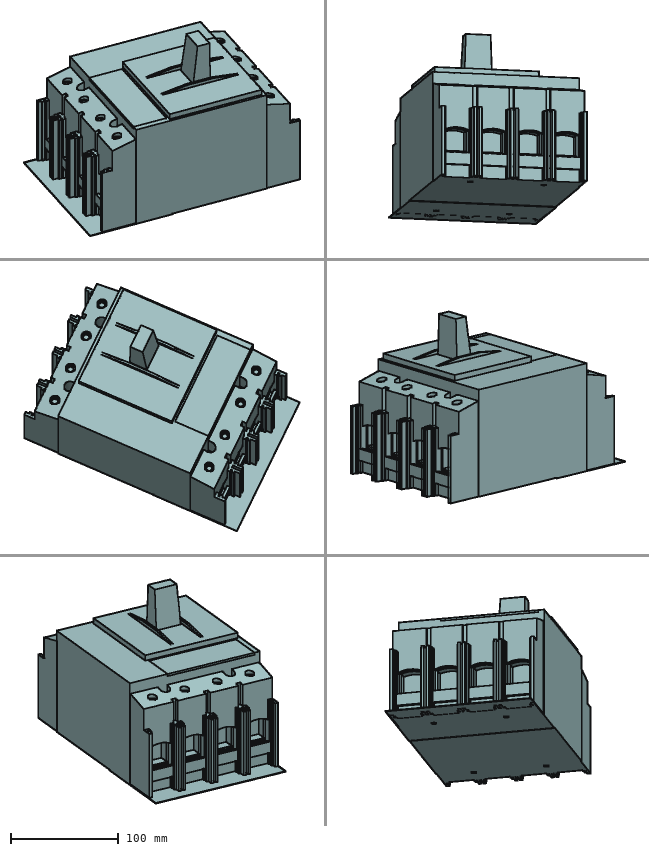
import cadquery as cq
import math


housing_width = 140.0
housing_half_length = 67.5
plate_thickness = 0.7
housing_top = 104.3
plate_front = -115.5
plate_rear = -29.9

pole_count = 4
pole_pitch = 35.0
pole_centers = [(i - (pole_count - 1) / 2) * pole_pitch for i in range(pole_count)]
divider_centers = [(i - (pole_count - 2) / 2) * pole_pitch for i in range(pole_count - 1)]

terminal_half_width = 69.4
terminal_face = 92.0
terminal_inner_top = 93.3
terminal_outer_top = 87.4

divider_top = 65.8
groove_half_width = 2.2
groove_bottom = 88.0
flange_half_width = 5.7
flange_face = 94.8
hook_half_width = 5.3
hook_inner = 96.4
hook_outer = 98.8
divider_half_width = 3.5
divider_tip = 104.0
divider_slot_width = 2.2
side_tip = 102.5
side_wall = 3.0
side_neck = 2.5
side_hook = 4.5
side_flange = 5.3

bar_face = 95.0
bar_bottom = 12.5
bar_top = 24.0

opening_half_width = pole_pitch / 2 - flange_half_width
opening_side_top = 45.5
opening_crown = 48.3
opening_back = 88.0
cavity_half_width = 9.7
cavity_side_top = 45.7
cavity_crown = 47.2
cavity_floor = 26.1
cavity_back = 79.0
lug_face = 89.1

screw_y = 79.0
rear_screw_diameter = 9.0
front_screw_diameter = 8.5
screw_floor = 87.5
socket_size = 5.5
socket_depth = 2.2

mount_columns = (divider_centers[0], divider_centers[-1])
mount_y = 72.0
mount_recess_diameter = 10.0
mount_hole_diameter = 4.5
mount_floor = divider_top

cover_center_x = pole_pitch / 2
cover_width = 99.7
cover_front = -31.5
cover_rear = 63.9
cover_top = 109.8
rib_offset = 16.0
rib_width = 2.5
rib_center_y = 16.2
rib_half_length = 39.3
rib_flat_half_length = 13.2
rib_height = 3.5

handle_top = 149.3
handle_rear = 28.3
handle_base_front = 10.8
handle_tip_front = 15.8
handle_base_width = 26.3
handle_tip_width = 23.7

panel_width = 93.7
panel_rear = -33.5
panel_thickness = 2.2


def block(x_range, y_range, z_range):
    """Box between the given limits."""
    size = [high - low for low, high in (x_range, y_range, z_range)]
    corner = (x_range[0], y_range[0], z_range[0])
    return cq.Workplane("XY").box(*size, centered=False).translate(corner)


def upright(diameter, x, y, bottom, top):
    """Vertical cylinder."""
    return cq.Workplane("XY", origin=(x, y, bottom)).circle(diameter / 2).extrude(top - bottom)


def terminal_body():
    """Terminal block with a sloping roof, starting in the middle of the housing."""
    outline = [
        (0, plate_thickness),
        (terminal_face, plate_thickness),
        (terminal_face, terminal_outer_top),
        (housing_half_length, terminal_inner_top),
        (0, terminal_inner_top),
    ]
    profile = cq.Workplane("YZ").polyline(outline).close()
    return profile.extrude(terminal_half_width, both=True)


def divider(x):
    """Post between two poles: a flange, a hooked fin and a central slot open outwards."""
    half_outline = [
        (flange_half_width, groove_bottom),
        (flange_half_width, flange_face),
        (divider_half_width, flange_face),
        (divider_half_width, hook_inner),
        (hook_half_width, hook_inner),
        (hook_half_width, hook_outer),
        (divider_half_width, hook_outer),
        (divider_half_width, divider_tip),
    ]
    mirrored = [(-px, py) for px, py in reversed(half_outline)]
    height = divider_top - plate_thickness
    post = cq.Workplane("XY").polyline(half_outline + mirrored).close().extrude(height)
    slot_half_width = divider_slot_width / 2
    slot = block((-slot_half_width, slot_half_width), (flange_face, divider_tip), (0, height))
    return post.cut(slot).translate((x, 0, plate_thickness))


def side_divider():
    """Half post on the -X side, flush with the outside of the terminal block."""
    outline = [
        (0, groove_bottom),
        (side_flange, groove_bottom),
        (side_flange, flange_face),
        (side_neck, flange_face),
        (side_neck, hook_inner),
        (side_hook, hook_inner),
        (side_hook, hook_outer),
        (side_wall, hook_outer),
        (side_wall, side_tip),
        (0, side_tip),
    ]
    post = cq.Workplane("XY").polyline(outline).close().extrude(divider_top - plate_thickness)
    return post.translate((-terminal_half_width, 0, plate_thickness))


def arched_pocket(x, half_width, floor, side_top, crown, back):
    """Pocket open outwards, with a flat floor and an arched roof."""
    profile = (
        cq.Workplane("XZ", origin=(x, flange_face, 0))
        .moveTo(-half_width, floor)
        .lineTo(half_width, floor)
        .lineTo(half_width, side_top)
        .threePointArc((0, crown), (-half_width, side_top))
        .close()
    )
    return profile.extrude(flange_face - back)


def terminal_opening(x):
    """Arched opening reaching down behind the cross bar, with a deeper cavity above a lug."""
    opening = arched_pocket(x, opening_half_width, bar_bottom, opening_side_top, opening_crown, opening_back)
    cavity = arched_pocket(x, cavity_half_width, cavity_floor, cavity_side_top, cavity_crown, cavity_back)
    lug = block(
        (x - cavity_half_width, x + cavity_half_width),
        (cavity_back, lug_face),
        (bar_top, cavity_floor),
    )
    return opening.union(cavity).cut(lug)


def mount_cut(x):
    """U-shaped recess against the main block, with a hole through its floor."""
    radius = mount_recess_diameter / 2
    recess = (
        cq.Workplane("XY", origin=(x, housing_half_length, mount_floor))
        .lineTo(radius, 0)
        .lineTo(radius, mount_y - housing_half_length)
        .threePointArc((0, mount_y - housing_half_length + radius), (-radius, mount_y - housing_half_length))
        .lineTo(-radius, 0)
        .close()
        .extrude(housing_top - mount_floor)
    )
    return recess.union(upright(mount_hole_diameter, x, mount_y, 0, housing_top))


def screw_cut(x, diameter, socket):
    """Screw access hole with a socket in its floor."""
    return upright(diameter, x, screw_y, screw_floor, housing_top).union(socket.translate((x, screw_y, 0)))


def terminal_block(screw_diameter, socket):
    """Rear terminal block with its openings, screws and dividers."""
    terminal = terminal_body()
    for x in pole_centers:
        terminal = terminal.cut(terminal_opening(x))
        terminal = terminal.cut(screw_cut(x, screw_diameter, socket))
    for x in divider_centers:
        groove = block(
            (x - groove_half_width, x + groove_half_width),
            (groove_bottom, terminal_face),
            (divider_top, terminal_inner_top),
        )
        terminal = terminal.cut(groove).union(divider(x))
    side = side_divider()
    bar = block(
        (-terminal_half_width, terminal_half_width),
        (terminal_face, bar_face),
        (bar_bottom, bar_top),
    )
    return terminal.union(side).union(side.mirror("YZ")).union(bar)


def make_panel():
    """Label panel, flush with the top and front of the main block."""
    return block(
        (cover_center_x - panel_width / 2, cover_center_x + panel_width / 2),
        (-housing_half_length, panel_rear),
        (housing_top - panel_thickness, housing_top),
    )


def make_housing():
    """Main block, base plate and both terminal blocks, with a recess for the label panel."""
    half_width = housing_width / 2
    socket_bottom = cq.Workplane("XY", origin=(0, 0, screw_floor - socket_depth))
    hex_corner_diameter = socket_size / math.cos(math.pi / 6)
    hex_socket = socket_bottom.polygon(6, hex_corner_diameter).extrude(socket_depth)
    hex_socket = hex_socket.rotate((0, 0, 0), (0, 0, 1), 30)
    round_socket = socket_bottom.circle(socket_size / 2).extrude(socket_depth)

    main = block(
        (-half_width, half_width),
        (-housing_half_length, housing_half_length),
        (plate_thickness, housing_top),
    )
    plate = block((-half_width, half_width), (plate_front, plate_rear), (0, plate_thickness))
    rear = terminal_block(rear_screw_diameter, hex_socket)
    front = terminal_block(front_screw_diameter, round_socket).mirror("XZ")
    housing = main.union(rear).union(front).union(plate)
    for x in mount_columns:
        cut = mount_cut(x)
        housing = housing.cut(cut).cut(cut.mirror("XZ"))
    return housing.cut(make_panel())


def guide_rib(x):
    """Low rib along Y with a flat crest and sloping ends."""
    outline = [
        (rib_center_y - rib_half_length, cover_top),
        (rib_center_y + rib_half_length, cover_top),
        (rib_center_y + rib_flat_half_length, cover_top + rib_height),
        (rib_center_y - rib_flat_half_length, cover_top + rib_height),
    ]
    profile = cq.Workplane("YZ", origin=(x, 0, 0)).polyline(outline).close()
    return profile.extrude(rib_width / 2, both=True)


def make_cover():
    """Raised cover plate with its guide ribs."""
    cover = block(
        (cover_center_x - cover_width / 2, cover_center_x + cover_width / 2),
        (cover_front, cover_rear),
        (housing_top, cover_top),
    )
    for side in (-1, 1):
        cover = cover.union(guide_rib(cover_center_x + side * rib_offset))
    return cover


def make_handle():
    """Toggle handle with an upright rear face and the other sides tapering upwards."""
    base_depth = handle_rear - handle_base_front
    tip_depth = handle_rear - handle_tip_front
    return (
        cq.Workplane("XY", origin=(cover_center_x, handle_rear, cover_top))
        .center(0, -base_depth / 2)
        .rect(handle_base_width, base_depth)
        .workplane(offset=handle_top - cover_top)
        .center(0, (base_depth - tip_depth) / 2)
        .rect(handle_tip_width, tip_depth)
        .loft(ruled=True)
    )


housing = make_housing()
cover = make_cover()
handle = make_handle()
panel = make_panel()

result = cq.Compound.makeCompound([housing.val(), cover.val(), handle.val(), panel.val()])